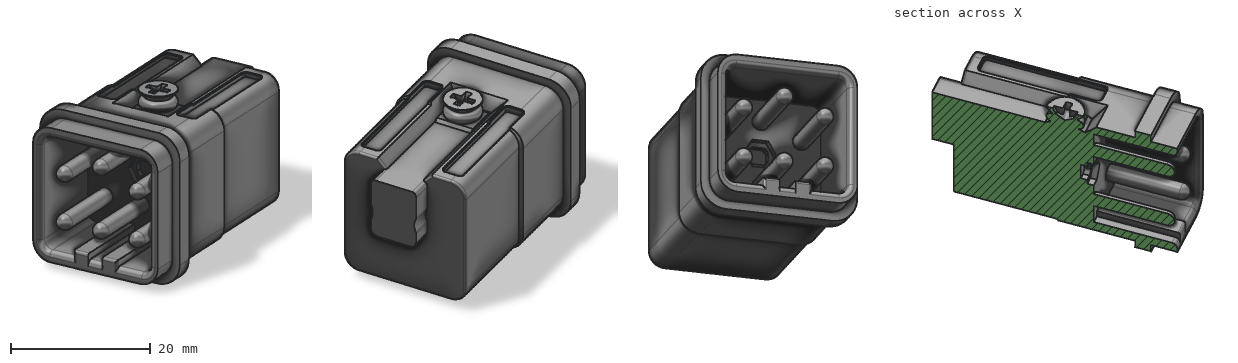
import cadquery as cq
import math


FRONT_SIZE = 20.95
FRONT_RADIUS = 3.0
FRONT_END = 18.7
STEP_CHAMFER = 0.5
FLANGE_SIZE = 23.5
FLANGE_RADIUS = 3.75
FLANGE_START = 4.0
FLANGE_END = 6.5
REAR_WIDTH = 20.0
REAR_HEIGHT = 20.45
REAR_RADIUS = 2.5
REAR_END = 34.25
REAR_EDGE = 0.35

BLOCK_WIDTH = 7.4
BLOCK_TOP = 8.75
BLOCK_BOTTOM = -0.75
BLOCK_END = 37.5
BLOCK_ROOT = 1.0
BLOCK_TOP_RADIUS = 0.72
BLOCK_BOTTOM_RADIUS = 1.05
GRIP_TOP = 4.3
GRIP_BOTTOM = 1.95
GRIP_DEPTH = 0.3
GRIP_EDGE_RADIUS = 0.6

CAVITY_WIDTH = 18.2
CAVITY_HEIGHT = 17.6
CAVITY_RADIUS = 1.4
CAVITY_DEPTH = 12.75
MOUTH_FILLET = 0.85

RIB_INNER_X = 1.2
RIB_OUTER_X = 3.65
RIB_TOP = -7.74
RIB_FILLET = 0.4

PIN_RADIUS = 1.25
PIN_TIP = 0.38
PIN_ROOT = 1.0
SIDE_PIN_X = 6.1
EARTH_PIN_Z = 5.5
UPPER_PIN_Z = 3.1
LOWER_PIN_Z = -4.4

HEX_FLATS = 4.1
HEX_DEPTH = 1.0
HEX_Z = 0.65
HOLE_RADIUS = 1.58
HOLE_WIDTH = 2.95
HOLE_HEIGHT = 2.6
HOLE_DEPTH = 2.0

CHANNEL_FLOOR_HALF_WIDTH = 2.97
CHANNEL_FRONT = 14.1
CHANNEL_OVERCUT = 1.0

PAD_BACK = 20.2
PAD_HEIGHT = 0.35
PAD_SLOPE_LENGTH = 0.7
SCREW_Y = 17.2
SCREW_TOP = 12.0
HEAD_RADIUS = 2.87
HEAD_RIM = 0.2
COLLAR_HEIGHT = 1.75
CROSS_HALF_SPAN = 1.83
CROSS_FLOOR_HALF_SPAN = 1.35
CROSS_ARM_WIDTH = 0.93
CROSS_WALL_DEPTH = 1.0
CROSS_DEPTH = 1.8
CROSS_FILLET = 0.25

PANEL_INNER_X = 5.15
PANEL_OUTER_X = 8.2
PANEL_FRONT = 13.69
PANEL_BACK = 32.45
PANEL_CORNER = 0.6
PANEL_FLOOR_Z = 9.45
PANEL_RIM = 0.15

MARGIN = 0.01

PIN_CENTERS = [
    (0, EARTH_PIN_Z),
    (-SIDE_PIN_X, UPPER_PIN_Z),
    (SIDE_PIN_X, UPPER_PIN_Z),
    (-SIDE_PIN_X, LOWER_PIN_Z),
    (0, LOWER_PIN_Z),
    (SIDE_PIN_X, LOWER_PIN_Z),
]


BoxSelector = cq.selectors.BoxSelector


def facing_front(y):
    """Workplane across Y whose local axes are X and Z and whose normal is -Y."""
    return cq.Workplane("XZ", origin=(0, y, 0))


def rounded_bar(width, height, radius, start, end):
    bar = facing_front(start).rect(width, height).extrude(start - end)
    return bar.edges("|Y").fillet(radius)


def box_between(x0, x1, y0, y1, z0, z1):
    return cq.Workplane("XY").box(x1 - x0, y1 - y0, z1 - z0, centered=False).translate((x0, y0, z0))


def make_channel():
    """Trapezoidal cut, open at the cable end, with a matching slope at its front end."""
    rise = FRONT_SIZE / 2 + CHANNEL_OVERCUT - BLOCK_TOP
    top_half_width = CHANNEL_FLOOR_HALF_WIDTH + rise
    channel = (
        facing_front(CHANNEL_FRONT - rise)
        .moveTo(-CHANNEL_FLOOR_HALF_WIDTH, BLOCK_TOP)
        .lineTo(CHANNEL_FLOOR_HALF_WIDTH, BLOCK_TOP)
        .lineTo(top_half_width, BLOCK_TOP + rise)
        .lineTo(-top_half_width, BLOCK_TOP + rise)
        .close()
        .extrude(CHANNEL_FRONT - rise - BLOCK_END)
    )
    front_slope = (
        cq.Workplane("YZ", origin=(-top_half_width, 0, 0))
        .moveTo(CHANNEL_FRONT - rise, BLOCK_TOP)
        .lineTo(CHANNEL_FRONT, BLOCK_TOP)
        .lineTo(CHANNEL_FRONT - rise, BLOCK_TOP + rise)
        .close()
        .extrude(2 * top_half_width)
    )
    return channel.cut(front_slope)


def make_hood():
    """Flanged outer body, with the cable end rounded all round including the channel walls."""
    channel = make_channel()
    front = rounded_bar(FRONT_SIZE, FRONT_SIZE, FRONT_RADIUS, 0, FRONT_END)
    front = front.faces(">Y").edges().chamfer(STEP_CHAMFER)
    front = front.cut(channel)
    flange = rounded_bar(FLANGE_SIZE, FLANGE_SIZE, FLANGE_RADIUS, FLANGE_START, FLANGE_END)
    rear = rounded_bar(REAR_WIDTH, REAR_HEIGHT, REAR_RADIUS, CHANNEL_FRONT, REAR_END)
    rear = rear.cut(channel)
    rear = rear.faces(">Y").edges().fillet(REAR_EDGE)
    return front.union(rear).union(flange)


def make_end_block():
    """Rounded block with a shallow concave groove, eased at its edges, along each side."""
    middle = (BLOCK_TOP + BLOCK_BOTTOM) / 2
    height = BLOCK_TOP - BLOCK_BOTTOM
    start = REAR_END - BLOCK_ROOT
    block = facing_front(start).center(0, middle).rect(BLOCK_WIDTH, height).extrude(start - BLOCK_END)
    block = block.edges("|Y and >Z").fillet(BLOCK_TOP_RADIUS)
    block = block.edges("|Y and <Z").fillet(BLOCK_BOTTOM_RADIUS)
    half_width = BLOCK_WIDTH / 2
    for side in (-1, 1):
        groove = (
            facing_front(REAR_END)
            .moveTo(side * half_width, GRIP_BOTTOM)
            .threePointArc(
                (side * (half_width - GRIP_DEPTH), (GRIP_TOP + GRIP_BOTTOM) / 2),
                (side * half_width, GRIP_TOP),
            )
            .close()
            .extrude(REAR_END - BLOCK_END)
        )
        block = block.cut(groove)
    groove_edges = block.edges("|Y").edges(
        BoxSelector(
            (-half_width - MARGIN, REAR_END, GRIP_BOTTOM - MARGIN),
            (half_width + MARGIN, BLOCK_END, GRIP_TOP + MARGIN),
        )
    )
    return groove_edges.fillet(GRIP_EDGE_RADIUS)


def cut_cavity(body):
    """Mating opening whose mouth is flared by a convex fillet."""
    body = body.cut(rounded_bar(CAVITY_WIDTH, CAVITY_HEIGHT, CAVITY_RADIUS, 0, CAVITY_DEPTH))
    mouth_edges = body.faces("<Y").edges(
        BoxSelector(
            (-CAVITY_WIDTH / 2 - MARGIN, -MARGIN, -CAVITY_HEIGHT / 2 - MARGIN),
            (CAVITY_WIDTH / 2 + MARGIN, MARGIN, CAVITY_HEIGHT / 2 + MARGIN),
        )
    )
    return mouth_edges.fillet(MOUTH_FILLET)


def make_rib(side):
    """Guide rib from the mating face to the cavity floor, eased on its outer and top front edges."""
    inner = side * RIB_INNER_X
    outer = side * RIB_OUTER_X
    bottom = -CAVITY_HEIGHT / 2 - MOUTH_FILLET
    rib = box_between(min(inner, outer), max(inner, outer), 0, CAVITY_DEPTH, bottom, RIB_TOP)
    outer_edge = rib.faces("<Y").edges("<X" if side < 0 else ">X")
    return outer_edge.add(rib.faces("<Y").edges(">Z")).fillet(RIB_FILLET)


def make_pin(x, z):
    """Round pin with a hemispherical tip, rooted just behind the cavity floor."""
    root = CAVITY_DEPTH + PIN_ROOT
    shoulder = PIN_TIP + PIN_RADIUS
    tip_offset = PIN_RADIUS * math.sqrt(0.5)
    return (
        cq.Workplane("YZ", origin=(x, 0, z))
        .moveTo(PIN_TIP, 0)
        .threePointArc((shoulder - tip_offset, tip_offset), (shoulder, PIN_RADIUS))
        .lineTo(root, PIN_RADIUS)
        .lineTo(root, 0)
        .close()
        .revolve(360, (0, 0, 0), (1, 0, 0))
    )


def make_hex_socket():
    corner_diameter = HEX_FLATS / math.cos(math.pi / 6)
    socket = facing_front(CAVITY_DEPTH).center(0, HEX_Z).polygon(6, corner_diameter).extrude(-HEX_DEPTH)
    hole = facing_front(CAVITY_DEPTH).center(0, HEX_Z).circle(HOLE_RADIUS).extrude(-HOLE_DEPTH)
    flats = facing_front(CAVITY_DEPTH).center(0, HEX_Z).rect(HOLE_WIDTH, HOLE_HEIGHT).extrude(-HOLE_DEPTH)
    return socket.union(hole.intersect(flats))


def make_pad():
    """Low clamp plate on the channel floor, sloped at its front and back."""
    return (
        cq.Workplane("YZ", origin=(-CHANNEL_FLOOR_HALF_WIDTH, 0, 0))
        .moveTo(CHANNEL_FRONT, BLOCK_TOP)
        .lineTo(PAD_BACK, BLOCK_TOP)
        .lineTo(PAD_BACK - PAD_SLOPE_LENGTH, BLOCK_TOP + PAD_HEIGHT)
        .lineTo(CHANNEL_FRONT + PAD_SLOPE_LENGTH, BLOCK_TOP + PAD_HEIGHT)
        .close()
        .extrude(2 * CHANNEL_FLOOR_HALF_WIDTH)
    )


def make_screw():
    """Countersunk head over a collar with a half-round rim, with a cross recess."""
    collar_bottom = BLOCK_TOP + PAD_HEIGHT
    collar_top = collar_bottom + COLLAR_HEIGHT
    collar_flat = HEAD_RADIUS - COLLAR_HEIGHT / 2
    cone_top = SCREW_TOP - HEAD_RIM
    neck_radius = HEAD_RADIUS - (cone_top - collar_top)
    screw = (
        cq.Workplane("XZ")
        .moveTo(0, collar_bottom)
        .lineTo(collar_flat, collar_bottom)
        .threePointArc((HEAD_RADIUS, collar_bottom + COLLAR_HEIGHT / 2), (collar_flat, collar_top))
        .lineTo(neck_radius, collar_top)
        .lineTo(HEAD_RADIUS, cone_top)
        .lineTo(HEAD_RADIUS, SCREW_TOP)
        .lineTo(0, SCREW_TOP)
        .close()
        .revolve(360, (0, 0, 0), (0, 1, 0))
    )
    return screw.cut(make_cross_recess()).translate((0, SCREW_Y, 0))


def make_cross_recess():
    span = 2 * CROSS_HALF_SPAN
    base = cq.Workplane("XY", origin=(0, 0, SCREW_TOP - CROSS_DEPTH))
    cross = base.rect(span, CROSS_ARM_WIDTH).extrude(CROSS_DEPTH)
    cross = cross.union(base.rect(CROSS_ARM_WIDTH, span).extrude(CROSS_DEPTH))
    inner = CROSS_ARM_WIDTH / 2 + MARGIN
    cross = cross.edges(
        BoxSelector((-inner, -inner, 0), (inner, inner, SCREW_TOP))
    ).edges("|Z").fillet(CROSS_FILLET)
    bit_point = (
        cq.Workplane("XZ")
        .moveTo(0, SCREW_TOP)
        .lineTo(CROSS_HALF_SPAN, SCREW_TOP)
        .lineTo(CROSS_FLOOR_HALF_SPAN, SCREW_TOP - CROSS_WALL_DEPTH)
        .lineTo(0, SCREW_TOP - CROSS_DEPTH)
        .close()
        .revolve(360, (0, 0, 0), (0, 1, 0))
    )
    return cross.intersect(bit_point)


def cut_panel(body, side):
    """Flat-floored recess with a narrow bevel around its rim."""
    center_x = side * (PANEL_INNER_X + PANEL_OUTER_X) / 2
    center_y = (PANEL_FRONT + PANEL_BACK) / 2
    half_width = (PANEL_OUTER_X - PANEL_INNER_X) / 2
    panel = cq.Workplane("XY", origin=(center_x, center_y, PANEL_FLOOR_Z))
    panel = panel.rect(2 * half_width, PANEL_BACK - PANEL_FRONT).extrude(FRONT_SIZE / 2 - PANEL_FLOOR_Z)
    body = body.cut(panel.edges("|Z").fillet(PANEL_CORNER))
    rim = body.edges(
        BoxSelector(
            (center_x - half_width - MARGIN, PANEL_FRONT - MARGIN, PANEL_FLOOR_Z + MARGIN),
            (center_x + half_width + MARGIN, PANEL_BACK + MARGIN, FRONT_SIZE / 2 + MARGIN),
        )
    ).edges("not |Z")
    return rim.chamfer(PANEL_RIM)


result = cut_cavity(make_hood().union(make_end_block()))
result = result.cut(make_hex_socket())
for side in (-1, 1):
    result = cut_panel(result.union(make_rib(side)), side)
for pin_x, pin_z in PIN_CENTERS:
    result = result.union(make_pin(pin_x, pin_z))
result = result.union(make_pad()).union(make_screw())